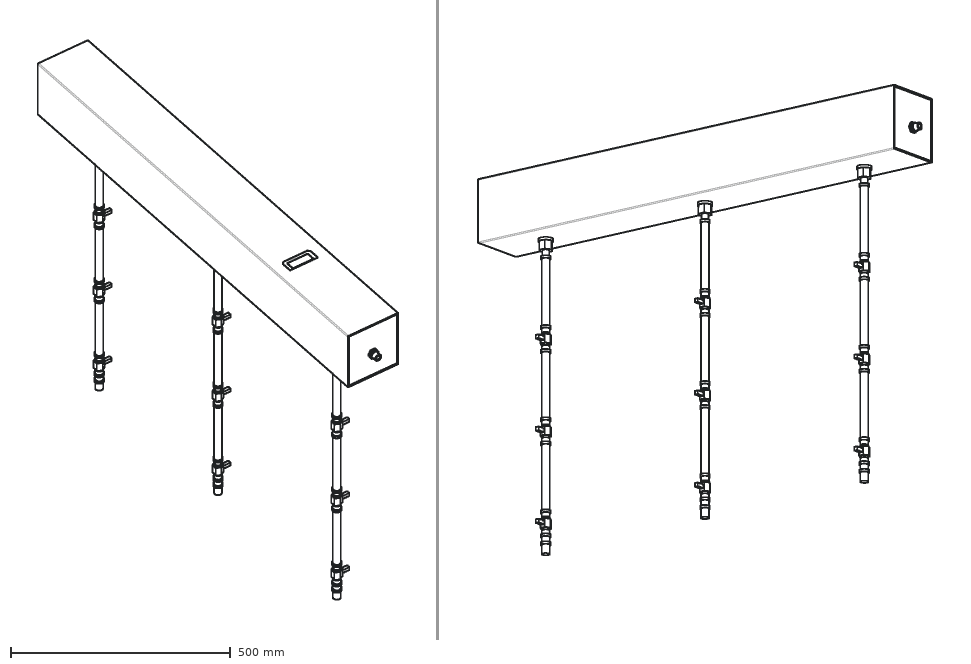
import cadquery as cq

overall_length = 1240.0
overall_height = 903.0
box_length = 1200.0
box_width = 143.0
box_height = 153.0
box_edge_radius = 2.0

wall = 4.0
end_recess_depth = 1.0

gland_z = 67.0
gland_hex_diameter = 26.0
gland_hex_length = 4.0
gland_shoulder_diameter = 21.0
gland_shoulder_length = 7.0
gland_stem_diameter = 17.0
gland_bore_diameter = 10.0
gland_length = (overall_length - box_length) / 2 + end_recess_depth

inlet_x = 316.0
inlet_length = 33.0
inlet_width = 78.0
inlet_depth = 1.0
inlet_corner_cut = 5.0
socket_offset = 2.0
socket_length = 22.0
socket_width = 58.0
socket_depth = 2.0

pipe_count = 3
pipe_spacing = 460.0
pipe_diameter = 19.0
pipe_end_z = box_height - overall_height
neck_diameter = 16.0
collar_diameter = 22.0
collar_height = 6.0
end_collar_z = pipe_end_z + 25.0

flange_diameter = 33.0
flange_height = 6.0
connector_hex_diameter = 32.0
connector_hex_height = 21.0
connector_bottom_z = -flange_height - connector_hex_height
connector_collar_z = -45.0

valve_count = 3
first_valve_z = -239.0
valve_pitch = 220.0
valve_hex_diameter = 26.0
valve_hex_height = 21.0
valve_collar_offset = 29.0
valve_neck_length = 5.0
lever_width = 9.0
lever_height = 9.0
lever_reach = 32.0


def rod(diameter, bottom, top):
    """Vertical cylinder on the pipe axis."""
    return cq.Workplane("XY").workplane(offset=bottom).circle(diameter / 2).extrude(top - bottom)


def hexagon(diameter, bottom, top):
    """Vertical hexagonal prism with two corners pointing along X."""
    return cq.Workplane("XY").workplane(offset=bottom).polygon(6, diameter).extrude(top - bottom)


def neck_groove(bottom, top):
    """Ring that narrows the pipe to the neck diameter."""
    return rod(collar_diameter, bottom, top).cut(rod(neck_diameter, bottom, top))


def collar(centre):
    """Ring around the pipe, centred on a height."""
    return rod(collar_diameter, centre - collar_height / 2, centre + collar_height / 2)


def add_valve(pipe, z):
    """Hexagonal valve body with a neck and a collar on both sides and a lever towards +Y."""
    top = z + valve_hex_height / 2
    bottom = z - valve_hex_height / 2
    pipe = pipe.cut(neck_groove(bottom - valve_neck_length, top + valve_neck_length))
    pipe = pipe.union(hexagon(valve_hex_diameter, bottom, top))
    pipe = pipe.union(collar(z + valve_collar_offset))
    pipe = pipe.union(collar(z - valve_collar_offset))
    lever = cq.Workplane("XZ").center(0, z).rect(lever_width, lever_height).extrude(-lever_reach)
    return pipe.union(lever)


def drop_pipe():
    """One whole pipe on the Z axis, hanging from the underside of the housing."""
    pipe = rod(pipe_diameter, pipe_end_z, 0)
    pipe = pipe.cut(neck_groove(connector_collar_z, connector_bottom_z))
    pipe = pipe.union(rod(flange_diameter, -flange_height, 0))
    pipe = pipe.union(hexagon(connector_hex_diameter, connector_bottom_z, -flange_height))
    pipe = pipe.union(collar(connector_collar_z))
    for index in range(valve_count):
        pipe = add_valve(pipe, first_valve_z - index * valve_pitch)
    return pipe.union(collar(end_collar_z))


def end_recess():
    """Recess in the +X end of the housing."""
    return (
        cq.Workplane("YZ", origin=(box_length / 2, 0, box_height / 2))
        .rect(box_width - 2 * wall, box_height - 2 * wall)
        .extrude(-end_recess_depth)
    )


def end_gland():
    """Hexagon, round shoulder and bored stem on the +X end of the housing."""
    seat = cq.Workplane("YZ", origin=(box_length / 2 - end_recess_depth, 0, gland_z))
    gland = seat.polygon(6, gland_hex_diameter).extrude(gland_hex_length + end_recess_depth)
    shoulder = seat.circle(gland_shoulder_diameter / 2).extrude(gland_shoulder_length + end_recess_depth)
    gland = gland.union(shoulder)
    gland = gland.union(seat.circle(gland_stem_diameter / 2).extrude(gland_length))
    return gland.cut(seat.circle(gland_bore_diameter / 2).extrude(gland_length))


def inlet_cut():
    """Shallow inlet recess with two cut corners and a deeper socket inside it."""
    frame = (
        cq.Workplane("XY", origin=(inlet_x, 0, box_height))
        .rect(inlet_length, inlet_width)
        .extrude(-inlet_depth)
        .edges("|Z and <X")
        .chamfer(inlet_corner_cut)
    )
    socket = (
        cq.Workplane("XY", origin=(inlet_x + socket_offset, 0, box_height))
        .rect(socket_length, socket_width)
        .extrude(-socket_depth)
    )
    return frame.union(socket)


housing = cq.Workplane("XY").box(box_length, box_width, box_height, centered=(True, True, False))
housing = housing.edges("|X").fillet(box_edge_radius)
housing = housing.cut(end_recess()).cut(end_recess().mirror("YZ"))
housing = housing.union(end_gland()).union(end_gland().mirror("YZ"))
result = housing.cut(inlet_cut())

pipe = drop_pipe()
for index in range(pipe_count):
    pipe_x = (index - (pipe_count - 1) / 2) * pipe_spacing
    result = result.union(pipe.translate((pipe_x, 0, 0)))